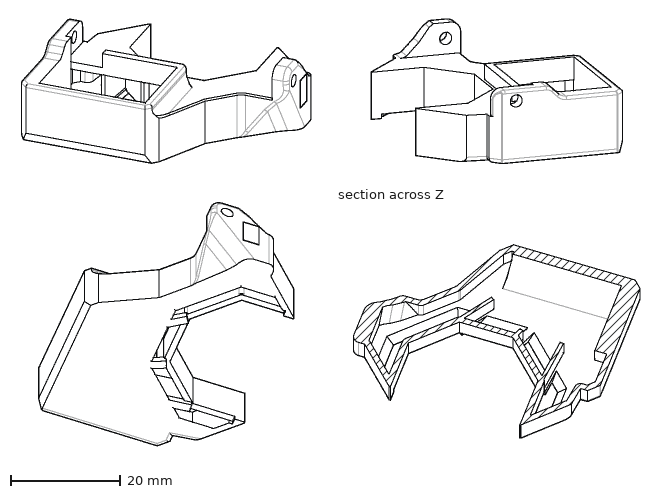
import cadquery as cq
import math

side_x = 46.28
tip_y = 36.68
plate_top = 9.0
box_top = 11.86
left_ear_top = 14.06
right_ear_top = 15.0

ring_x = 23.7
ring_y = 31.72
ring_apothem = 12.5
arm_outer_half = 20.02
shoulder_y = 29.41

wall = 1.2
floor_top = 1.25
roof_bottom = 7.5

mouth_left = 3.5
mouth_right = 24.45
mouth_front = 1.53
mouth_back = 17.0
box_right = 26.03
box_back = 18.6
back_wall_left = 9.67
corner_chamfer = 1.48
front_right_x = 25.0
left_edge_fillet = 0.25
rim_fillet = 0.55
box_right_blend = 1.9
back_corner_chamfer = 0.98
front_bevel_height = 1.95
front_bevel_depth = 0.92
left_bottom_fillet = 1.0
ramp_radius = 6.8
ramp_length = 6.27

left_back_y = 25.65
left_back_corner_y = 23.8
left_arm_root_x = 3.2
left_ear_back = 25.2
left_ear_thickness = 2.45
left_ear_back_fillet = 2.0
ear_slope_top_y = 14.35
ear_blend_radius = 2.0

arm_front = 17.0
arm_corner_x = 37.1
flank_front = (27.0, 2.0)
flank_bend = (32.0, 12.0)
plate_edge_chamfer = 0.3
arm_corner_fillet = 2.0
right_ear_left = 43.2
right_ear_back = [(27.46, 9.35), (25.1, 11.7), (23.1, 14.4), (22.3, 15.0)]
right_ear_foot_mid = (28.1, 9.08)
right_ear_foot_y = 28.85
right_ear_front_fillet = 2.0
right_ear_outer_fillet = 0.9
right_back_corner_fillet = 1.4
pad_x = 46.36
pad_front, pad_back = 23.0, 26.1
pad_bottom, pad_top = 4.9, 10.5

undercut_start_x = 37.3
undercut_bend = (42.2, 6.5)
undercut_curve_start = (44.0, 8.4)
undercut_curve_radius = 4.5
undercut_curve_top = 12.3
undercut_fall = 1.5

hole_diameter = 2.3
hole_z = 11.96
left_hole_y = 21.05
right_hole_y = 19.9

outlet_bottom_apothem = 15.86
outlet_top_apothem = 17.39
outlet_lip = 0.85
outlet_end_y = 34.7
vane_thickness = 0.75
vane_starts = [(9.7, 17.3), (17.6, 17.0), (24.8, 12.3)]
vane_foot_width = 1.6
vane_foot_overhang = 3.0

left_shoulder_x = ring_x - arm_outer_half
right_shoulder_x = ring_x + arm_outer_half
tip_rise = tip_y - shoulder_y

close = 0.01


def block(x0, x1, y0, y1, z0, z1):
    return cq.Workplane("XY").box(x1 - x0, y1 - y0, z1 - z0, centered=False).translate((x0, y0, z0))


def edges_where(solid, wanted):
    """Edges whose centre point satisfies wanted(x, y, z)."""
    chosen = [e for e in solid.edges().vals() if wanted(*e.Center().toTuple())]
    return solid.newObject(chosen)


def ring_half(apothem, back_y):
    """Front half of the octagon, with straight sides carried back to back_y."""
    half_side = apothem * math.tan(math.pi / 8)
    return [
        (ring_x - apothem, back_y),
        (ring_x - apothem, ring_y - half_side),
        (ring_x - half_side, ring_y - apothem),
        (ring_x + half_side, ring_y - apothem),
        (ring_x + apothem, ring_y - half_side),
        (ring_x + apothem, back_y),
    ]


def plate_outline():
    left_corner = left_back_y - left_back_corner_y
    right_front = [
        (corner_chamfer, 0),
        (front_right_x, 0),
        flank_front,
        flank_bend,
        (arm_corner_x, arm_front),
        (side_x, arm_front),
    ]
    right_back = [
        (side_x, shoulder_y),
        (right_shoulder_x, shoulder_y),
        (right_shoulder_x - tip_rise, tip_y),
    ]
    left_back = [
        (left_shoulder_x + tip_rise, tip_y),
        (left_shoulder_x, shoulder_y),
        (left_arm_root_x, left_back_y),
        (left_corner, left_back_y),
        (0, left_back_corner_y),
        (0, corner_chamfer),
    ]
    return right_front + right_back + ring_half(ring_apothem, tip_y)[::-1] + left_back


def outline_prism(height):
    return cq.Workplane("XY").polyline(plate_outline()).close().extrude(height)


def inset_prism(height):
    """Plate outline moved inwards by the wall thickness."""
    return cq.Workplane("XY").polyline(plate_outline()).close().offset2D(-wall).extrude(height)


def box_rim():
    """Box walls above the plate, with a concave blend down to the plate on the right."""
    blend_end = box_right + box_right_blend
    rim = (
        cq.Workplane("XZ")
        .moveTo(0, 0)
        .lineTo(blend_end, 0)
        .lineTo(blend_end, plate_top)
        .radiusArc((box_right, plate_top + box_right_blend), box_right_blend)
        .lineTo(box_right, box_top)
        .lineTo(0, box_top)
        .close()
        .extrude(-box_back)
    )
    corner_sum = box_right + box_back - back_corner_chamfer
    corner = (
        cq.Workplane("XY")
        .polyline([
            (corner_sum - box_back, box_back),
            (blend_end, box_back),
            (blend_end, corner_sum - blend_end),
        ])
        .close()
        .extrude(right_ear_top)
    )
    behind_mouth = block(0, back_wall_left, mouth_back, box_back, plate_top, box_top)
    return rim.cut(corner).cut(behind_mouth)


def left_ear():
    """Side wall whose back part rises with a 45 degree slope to the left ear."""
    slope_foot_y = ear_slope_top_y - (left_ear_top - box_top)
    ear = (
        cq.Workplane("YZ")
        .polyline([
            (0, 0),
            (left_ear_back, 0),
            (left_ear_back, left_ear_top),
            (ear_slope_top_y, left_ear_top),
            (slope_foot_y, box_top),
            (0, box_top),
        ])
        .close()
        .extrude(mouth_left)
    )

    def at_slope_end(x, y, z):
        on_slope = slope_foot_y - close < y < ear_slope_top_y + close
        return on_slope and z > plate_top and abs(x - mouth_left / 2) < close

    ear = edges_where(ear, at_slope_end).fillet(ear_blend_radius)
    ear = ear.edges("|X and >Y and >Z").fillet(left_ear_back_fillet)
    relief = block(left_ear_thickness, mouth_left, mouth_back, left_ear_back, plate_top, left_ear_top)
    return ear.cut(relief)


def right_ear():
    profile = (
        cq.Workplane("YZ")
        .moveTo(arm_front, 0)
        .lineTo(shoulder_y, 0)
        .lineTo(shoulder_y, plate_top)
        .lineTo(right_ear_foot_y, plate_top)
        .threePointArc(right_ear_foot_mid, right_ear_back[0])
        .lineTo(*right_ear_back[1])
        .lineTo(*right_ear_back[2])
        .lineTo(*right_ear_back[3])
        .lineTo(arm_front + right_ear_front_fillet, right_ear_top)
        .radiusArc((arm_front, right_ear_top - right_ear_front_fillet), -right_ear_front_fillet)
        .close()
    )
    return profile.extrude(side_x - right_ear_left).translate((right_ear_left, 0, 0))


def ear_undercut():
    """Body below the sloping underside of the right ear."""
    depth = shoulder_y - arm_front
    profile = (
        cq.Workplane("XZ", origin=(0, arm_front, 0))
        .moveTo(undercut_start_x, 0)
        .lineTo(*undercut_bend)
        .lineTo(*undercut_curve_start)
        .radiusArc((side_x, undercut_curve_top), -undercut_curve_radius)
        .lineTo(pad_x, undercut_curve_top)
        .lineTo(pad_x, 0)
        .close()
        .wire()
    )
    sweep = cq.Vector(0, depth, -depth * undercut_fall)
    return cq.Workplane(cq.Solid.extrudeLinear(profile.val(), [], sweep))


def front_bevel():
    return (
        cq.Workplane("YZ")
        .polyline([(0, 0), (front_bevel_depth, 0), (0, front_bevel_height)])
        .close()
        .extrude(side_x)
    )


def duct_cavity():
    """Space between floor and roof that carries the air from the mouth into both arms."""
    height = roof_bottom - floor_top
    inside = inset_prism(height).translate((0, 0, floor_top))
    left_wall = block(0, mouth_left, 0, mouth_back, 0, plate_top)
    front_wall = block(0, side_x, 0, mouth_front, 0, plate_top)
    above_undercut = ear_undercut().translate((-2 * wall, 0, 0))
    ear_side = block(right_ear_left, pad_x, 0, tip_y, 0, plate_top)
    return inside.cut(left_wall).cut(front_wall).cut(above_undercut).cut(ear_side)


def mouth():
    return block(mouth_left, mouth_right, mouth_front, mouth_back, floor_top, right_ear_top)


def ramp():
    """Curved rise of the floor towards the front wall."""
    angle = math.asin(ramp_length / ramp_radius)
    ramp_rise = ramp_radius * (1 - math.cos(angle))
    return (
        cq.Workplane("YZ")
        .moveTo(mouth_front + ramp_length, floor_top)
        .lineTo(mouth_front, floor_top)
        .lineTo(mouth_front, floor_top + ramp_rise)
        .radiusArc((mouth_front + ramp_length, floor_top), -ramp_radius)
        .close()
        .extrude(mouth_right - mouth_left)
        .translate((mouth_left, 0, 0))
    )


def along_vanes(thickness, height, overhang):
    """Upright bars along the guide vanes, from the mouth to the corners of the ring wall."""
    corners = ring_half(ring_apothem + wall / 2, outlet_end_y)[1:4]
    bars = cq.Workplane("XY")
    for start, end in zip(vane_starts, corners):
        length = math.dist(start, end) + overhang
        angle = math.degrees(math.atan2(end[1] - start[1], end[0] - start[0]))
        bar = block(-overhang, length - overhang, -thickness / 2, thickness / 2, 0, height)
        bar = bar.rotate((0, 0, 0), (0, 0, 1), angle).translate((start[0], start[1], 0))
        bars = bars.union(bar)
    return bars


def ring_prism(apothem, height):
    return cq.Workplane("XY").polyline(ring_half(apothem, outlet_end_y)).close().extrude(height)


def outlets():
    """Slot in the floor around the ring, sloped at its outer edge, with a low gap under the ring wall."""
    flared = (
        cq.Workplane("XY")
        .polyline(ring_half(outlet_bottom_apothem, outlet_end_y))
        .close()
        .workplane(offset=floor_top)
        .polyline(ring_half(outlet_top_apothem, outlet_end_y))
        .close()
        .loft(ruled=True)
    )
    ring_inside = ring_prism(ring_apothem + wall, plate_top)
    slot = flared.cut(ring_inside.translate((0, 0, outlet_lip)))
    return slot.intersect(inset_prism(plate_top).union(ring_inside))


def screw_hole(y, x0, x1):
    return (
        cq.Workplane("YZ")
        .center(y, hole_z)
        .circle(hole_diameter / 2)
        .extrude(x1 - x0)
        .translate((x0, 0, 0))
    )


def pad():
    """Shallow raised patch on the outside of the right arm."""
    return block(right_ear_left, pad_x, pad_front, pad_back, pad_bottom, pad_top)


def round_left_box(solid):
    """Round the box rim, the left bottom edges and the upright left edges."""
    def on_rim(x, y, z):
        on_left = x < close
        on_front = y < close
        on_left_chamfer = x + y < corner_chamfer + close
        on_right_chamfer = x - y > front_right_x - close and y < corner_chamfer
        on_right = abs(x - box_right) < close
        top = z > box_top - close and x < right_ear_left and y < left_back_corner_y
        return top and (on_left or on_front or on_left_chamfer or on_right_chamfer or on_right)

    def on_left_bottom(x, y, z):
        return z < close and (x < close or (x < left_shoulder_x and y > left_back_corner_y))

    def on_left_upright(x, y, z):
        at_ends = y < corner_chamfer + close or abs(y - left_back_corner_y) < close
        return x < close and at_ends and front_bevel_height < z < plate_top

    solid = edges_where(solid, on_rim).fillet(rim_fillet)
    solid = edges_where(solid, on_left_bottom).fillet(left_bottom_fillet)
    return edges_where(solid, on_left_upright).fillet(left_edge_fillet)


def round_right_arm(solid):
    """Round the arm corners and the outer rim of the right ear, and chamfer the plate edge."""
    def at_back_corner(x, y, z):
        return abs(x - side_x) < close and abs(y - shoulder_y) < close and z > close

    def at_arm_corner(x, y, z):
        return abs(x - arm_corner_x) < close and abs(y - arm_front) < close

    def on_ear_rim(x, y, z):
        on_side = abs(x - side_x) < close and z > pad_top and y < pad_front
        off_plate_edge = abs(z - plate_top) > close and abs(x - right_ear_left) > close
        on_front = abs(y - arm_front) < close and x > arm_corner_x + arm_corner_fillet and off_plate_edge
        return on_side or (on_front and close < z < undercut_curve_top)

    def on_plate_edge(x, y, z):
        beside_box = box_right + box_right_blend - close < x < right_ear_left
        return abs(z - plate_top) < close and y < arm_front + close and beside_box

    solid = edges_where(solid, at_back_corner).fillet(right_back_corner_fillet)
    solid = edges_where(solid, at_arm_corner).fillet(arm_corner_fillet)
    solid = edges_where(solid, on_ear_rim).fillet(right_ear_outer_fillet)
    return edges_where(solid, on_plate_edge).chamfer(plate_edge_chamfer)


upper_left = box_rim().union(left_ear()).intersect(outline_prism(right_ear_top))
body = outline_prism(plate_top).union(right_ear()).cut(ear_undercut()).union(upper_left).cut(front_bevel())
body = round_right_arm(round_left_box(body)).union(pad())

vanes = along_vanes(vane_thickness, roof_bottom, 0)
vane_feet = along_vanes(vane_foot_width, floor_top, vane_foot_overhang)
body = body.cut(duct_cavity().cut(vanes)).cut(mouth().cut(vanes))
body = body.cut(outlets().cut(vanes).cut(vane_feet)).union(ramp())

body = body.cut(screw_hole(left_hole_y, 0, mouth_left))
result = body.cut(screw_hole(right_hole_y, right_ear_left, side_x))